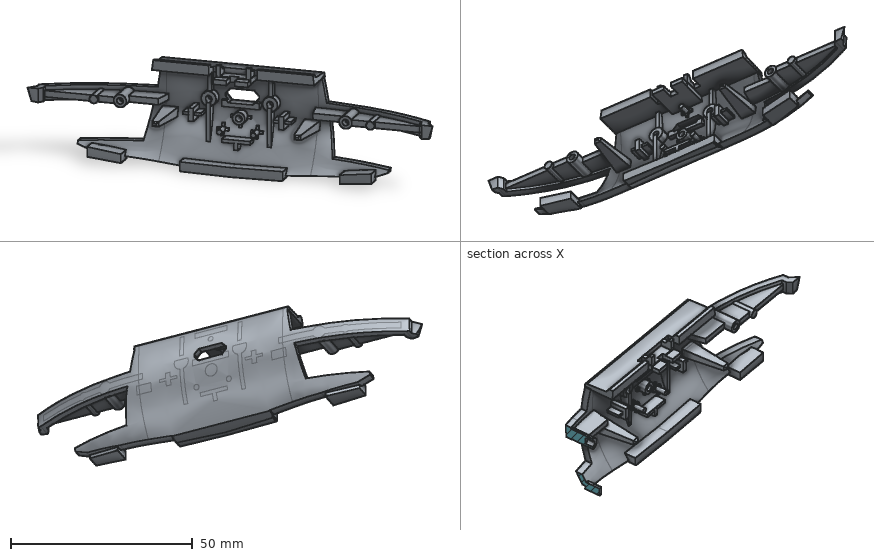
import cadquery as cq
import math

LENGTH = 117.5
BACK_Y = 8.25
TOP_Z = 15.595
BOTTOM_Z = -TOP_Z

WALL = 1.95
BULGE_Z = 5.0
UPPER_RADIUS = 62.0
LOWER_RADIUS = 31.0
MIDDLE_HALF = 22.0
END_RADIUS = 75.0
END_ANGLE = 36.0
STOCK_FRONT_Y = -16.0
CLEAR_BACK_Y = BACK_Y + 1
STOCK_TOP_Z = 16.5
PROFILE_HEIGHTS = (STOCK_TOP_Z, 11.0, BULGE_Z, -1.0, -7.0, -12.5, -18.0)

BODY_TOP_HALF = 23.15
ARM_TOP_EDGE = ((24.5, 5.35), (29.0, 5.2), (LENGTH / 2, 4.95))
ARM_BOTTOM_EDGE = ((57.6, 1.2), (55.8, 0.95), (25.5, 0.95))
WING_TOP_EDGE = ((27.4, -9.3), (45.0, -9.7))
WING_BOTTOM_EDGE = ((45.0, -10.5), (41.3, -12.0), (30.7, -13.3), (15.0, -14.4))
WINDOW_EDGE = ((3.5, 6.9), (4.9, 5.4), (4.9, 4.8), (3.5, 3.2))

PLATE_HALF = 24.0
PLATE_UNDERSIDE_Z = 12.6
PLATE_BACK_Z = 13.9
PLATE_BEVEL = 0.5
PLATE_BEVEL_Y = 7.0
PLATE_FRONT_Z = 14.25
LIP_FOOT_Y = 0.5
LIP_CREST_Y = -0.6
LIP_FRONT_Y = -1.8
LIP_Z = 15.45
NOTCH_HALF = 7.0
NOTCH_Y = 1.95
FINGER_INNER = 3.75
FINGER_OUTER = 5.0
FINGER_FRONT_Y = -1.5

SHELF_HALF = 4.9
SHELF_BOTTOM_Z = 10.9
BLOCK_TOP_Z = 12.3
BLOCK_INNER = 1.2
BLOCK_FRONT_Y = -4.05
WEB_FRONT_Y = -0.5

ARM_END_X = 56.7
ARM_Z = 2.9
ARM_RIB_HEIGHT = 1.8
ARM_RIB_FRONT_Y = -1.9
INNER_RIB_FRONT_Y = 0.6
ARM_RIB_OUTER_X = 54.6
ARM_RIB_INNER_X = 20.8
ARM_RIB_CORNER_X = 22.4
ARM_BOSS_X = 32.7
ARM_BOSS_RADIUS = 1.85
ARM_BOSS_FRONT_Y = -2.0
ARM_PIN_X = 40.1
ARM_PIN_RADIUS = 1.2
ARM_PIN_FRONT_Y = -2.8
HOOK_OUTER_Y = -2.0
HOOK_INNER_Y = -2.9
HOOK_FRONT_Y = -4.4
HOOK_INNER_X = 55.6
HOLE_DIAMETER = 1.8

SIDE_BOSS_RADIUS = 2.15
SIDE_BOSS = (8.9, 4.1)
SIDE_BOSS_FRONT_Y = 3.8
CENTRE_BOSS_Z = -0.6
CENTRE_BOSS_RADIUS = 1.8
CENTRE_BOSS_FRONT_Y = 3.2
HOLE_DEPTH = 2.5
RIB_X = 8.85
RIB_WIDTH = 1.15
RIB_BOTTOM_Z = -8.0
UPPER_RIB_FRONT_Y = 4.5
LOWER_RIB_FRONT_Y = 3.2
WINDOW_LEDGE = ((-5.5, 5.5), (4.8, BACK_Y), (2.0, 3.8))
LOWER_LEDGE = ((-4.1, 4.1), (0.8, BACK_Y), (-7.1, -6.1))
LEDGE_SUPPORT = ((-0.6, 0.6), (0.8, BACK_Y), (-9.0, -6.5))
FIN_HEIGHT = 0.6
FIN_WIDTH = 0.7
FIN_REACH = 1.7
CENTRE_FIN_REACH = 2.9
STUD_RADIUS = 0.75
SMALL_CROSSES = ((0.0, 9.35, 2.9), (-4.95, -4.35, 1.1), (4.95, -4.35, 1.1))
BIG_CROSS_X = 13.1
BIG_CROSS_UPRIGHT = (1.4, 3.8)
BIG_CROSS_BAR = (5.3, 0.8)
BIG_CROSS_FRONT_Y = 0.85
BIG_CROSS_BAR_FRONT_Y = 1.85

PEG_X = 20.6
PEG_Z = -1.0
PEG_ROOT = (4.4, 2.6)
PEG_END = (1.9, 1.4)
PEG_ROOT_Y = 5.0
PEG_SHOULDER_Y = -7.6
BAR_HALF = WING_BOTTOM_EDGE[-1][0]
BAR_FRONT_Y = -3.3
BAR_UNDERSIDE_Y = -1.8
BAR_ROOT_Y = 2.0
BAR_ROOT_Z = -14.3
BAR_TOP_Z = -12.55
BAR_MIDDLE_DIP = 0.25
BAR_BEVEL = 0.35
PAD_OUTER_X = 41.2
PAD_INNER_X = 31.7
PAD_OUTER_Z = (-13.1, -10.2)
PAD_INNER_Z = (-14.3, -11.7)
PAD_OUTER_Y = (-5.1, -1.0)
PAD_INNER_Y = (-4.2, 1.0)


def profile_points(depth):
    """Points down the back profile, offset forward by depth."""
    points = []
    for z in PROFILE_HEIGHTS:
        radius = UPPER_RADIUS if z > BULGE_Z else LOWER_RADIUS
        arc_y = BACK_Y - radius + math.sqrt((radius - depth) ** 2 - (z - BULGE_Z) ** 2)
        points.append((arc_y, z))
    return points


def layer_section(x, back_depth, front_depth):
    """YZ outline at x between two offsets of the back profile; None stands for a flat front."""
    back = profile_points(back_depth)
    section = cq.Workplane("YZ", origin=(x, 0, 0)).moveTo(*back[0]).spline(back[1:], includeCurrent=True)
    if front_depth is None:
        section = section.lineTo(STOCK_FRONT_Y, PROFILE_HEIGHTS[-1])
        section = section.lineTo(STOCK_FRONT_Y, PROFILE_HEIGHTS[0])
    else:
        front = profile_points(front_depth)[::-1]
        section = section.lineTo(*front[0]).spline(front[1:], includeCurrent=True)
    return section.close()


def layer(back_depth, front_depth=None):
    """Layer of the shell: straight in the middle, turned about a vertical axis at both ends."""
    middle = layer_section(-MIDDLE_HALF, back_depth, front_depth).extrude(2 * MIDDLE_HALF)
    axis_y = BACK_Y - END_RADIUS
    end = layer_section(-MIDDLE_HALF, back_depth, front_depth).revolve(END_ANGLE, (axis_y, 0), (axis_y, 1))
    return middle.union(both_sides(end))


def box(x_range, y_range, z_range):
    """Box between two limits on each axis."""
    size = [high - low for low, high in (x_range, y_range, z_range)]
    corner = (x_range[0], y_range[0], z_range[0])
    return cq.Workplane(cq.Solid.makeBox(*size, cq.Vector(*corner)))


def rod(x, z, radius, front_y):
    """Cylinder along Y from front_y to behind the shell."""
    return cq.Workplane(
        cq.Solid.makeCylinder(radius, BACK_Y - front_y, cq.Vector(x, front_y, z), cq.Vector(0, 1, 0))
    )


def front_prism(points):
    """XZ polygon extruded along Y to behind the shell."""
    sketch = cq.Workplane("XZ", origin=(0, CLEAR_BACK_Y, 0)).polyline(points).close()
    return sketch.extrude(CLEAR_BACK_Y - STOCK_FRONT_Y)


def top_prism(points, bottom_z, top_z):
    """XY polygon extruded between two heights."""
    return cq.Workplane("XY", origin=(0, 0, bottom_z)).polyline(points).close().extrude(top_z - bottom_z)


def side_prism(points, half_width):
    """YZ polygon extruded symmetrically about X = 0."""
    return cq.Workplane("YZ").polyline(points).close().extrude(half_width, both=True)


def mirrored(points):
    """Points mirrored about X = 0, in reverse order so that they close an outline."""
    return [(-x, z) for x, z in reversed(points)]


def both_sides(half):
    """A feature together with its mirror image about X = 0."""
    return half.union(half.mirror("YZ"))


def outline(top_z):
    """Front silhouette of body, arms and wings, up to top_z, as a prism."""
    half = [(BODY_TOP_HALF, top_z), *ARM_TOP_EDGE, *ARM_BOTTOM_EDGE, *WING_TOP_EDGE, *WING_BOTTOM_EDGE]
    return front_prism(half + mirrored(half))


def top_plate():
    """Top plate with a raised lip, notched in the middle and bridged by two fingers."""
    profile = [
        (BACK_Y, PLATE_UNDERSIDE_Z), (BACK_Y, PLATE_BACK_Z - PLATE_BEVEL),
        (PLATE_BEVEL_Y, PLATE_BACK_Z), (LIP_FOOT_Y, PLATE_FRONT_Z),
        (LIP_CREST_Y, LIP_Z), (LIP_FRONT_Y, LIP_Z), (LIP_FRONT_Y, PLATE_UNDERSIDE_Z),
    ]
    plate = side_prism(profile, PLATE_HALF)
    notch = box((-NOTCH_HALF, NOTCH_HALF), (STOCK_FRONT_Y, NOTCH_Y), (PLATE_UNDERSIDE_Z, STOCK_TOP_Z))
    plate = plate.cut(notch)
    finger_profile = [
        (NOTCH_Y, PLATE_UNDERSIDE_Z), (NOTCH_Y, PLATE_FRONT_Z), (LIP_FOOT_Y, PLATE_FRONT_Z),
        (LIP_CREST_Y, TOP_Z), (FINGER_FRONT_Y, TOP_Z), (FINGER_FRONT_Y, PLATE_UNDERSIDE_Z),
    ]
    fingers = side_prism(finger_profile, FINGER_OUTER)
    fingers = fingers.cut(box((-FINGER_INNER, FINGER_INNER), (STOCK_FRONT_Y, BACK_Y), (0, STOCK_TOP_Z)))
    return plate.union(fingers)


def catch():
    """Shelf under the top plate with two forward blocks joined by a short web."""
    heights = (SHELF_BOTTOM_Z, PLATE_UNDERSIDE_Z)
    shelf = box((-SHELF_HALF, SHELF_HALF), (FINGER_FRONT_Y, BACK_Y), heights)
    gap = box((-BLOCK_INNER, BLOCK_INNER), (STOCK_FRONT_Y, WEB_FRONT_Y), heights)
    block = box((BLOCK_INNER, FINGER_OUTER), (BLOCK_FRONT_Y, FINGER_FRONT_Y), (SHELF_BOTTOM_Z, BLOCK_TOP_Z))
    return shelf.cut(gap).union(both_sides(block))


def arm_features():
    """Horizontal rib, boss, pin and hooked tip of each side arm."""
    bottom = ARM_Z - ARM_RIB_HEIGHT / 2
    rib = top_prism(
        [
            (ARM_RIB_OUTER_X, BACK_Y), (ARM_RIB_OUTER_X, ARM_RIB_FRONT_Y), (ARM_BOSS_X, ARM_RIB_FRONT_Y),
            (ARM_BOSS_X, INNER_RIB_FRONT_Y), (ARM_RIB_CORNER_X, INNER_RIB_FRONT_Y), (ARM_RIB_INNER_X, BACK_Y),
        ],
        bottom, bottom + ARM_RIB_HEIGHT,
    )
    boss = rod(ARM_BOSS_X, ARM_Z, ARM_BOSS_RADIUS, ARM_BOSS_FRONT_Y)
    hole = rod(ARM_BOSS_X, ARM_Z, HOLE_DIAMETER / 2, STOCK_FRONT_Y)
    hole = hole.intersect(box((0, LENGTH), (STOCK_FRONT_Y, ARM_BOSS_FRONT_Y + HOLE_DEPTH), (0, STOCK_TOP_Z)))
    pin = rod(ARM_PIN_X, ARM_Z, ARM_PIN_RADIUS, ARM_PIN_FRONT_Y)
    tip_points = [
        (ARM_END_X, 0), (ARM_END_X, HOOK_OUTER_Y), (LENGTH / 2, HOOK_FRONT_Y), (HOOK_INNER_X, HOOK_FRONT_Y),
        (ARM_RIB_OUTER_X, HOOK_INNER_Y), (ARM_RIB_OUTER_X, 0),
    ]
    tip = top_prism(tip_points, 0, BULGE_Z).intersect(outline(TOP_Z))
    return both_sides(rib.union(boss).cut(hole).union(pin).union(tip))


def shell_fins(shapes):
    """Low fins that follow the shell, cut to the given front shapes."""
    return layer(WALL / 2, WALL + FIN_HEIGHT).intersect(shapes)


def upright_box(x, z, width, height, front_y):
    """Box centred at X, Z that runs from front_y back into the shell."""
    return box(
        (x - width / 2, x + width / 2), (front_y, BACK_Y), (z - height / 2, z + height / 2)
    )


def crosses():
    """Fin crosses with studs, and the tall crosses beside the vertical ribs."""
    fins = upright_box(0, CENTRE_BOSS_Z, 2 * CENTRE_FIN_REACH, FIN_WIDTH, STOCK_FRONT_Y)
    fins = fins.union(upright_box(0, CENTRE_BOSS_Z, FIN_WIDTH, 2 * CENTRE_FIN_REACH, STOCK_FRONT_Y))
    studs = cq.Workplane()
    for x, z, stud_y in SMALL_CROSSES:
        fins = fins.union(upright_box(x, z, 2 * FIN_REACH, FIN_WIDTH, STOCK_FRONT_Y))
        fins = fins.union(upright_box(x, z, FIN_WIDTH, 2 * FIN_REACH, STOCK_FRONT_Y))
        studs = studs.add(rod(x, z, STUD_RADIUS, stud_y))
    big = upright_box(BIG_CROSS_X, 0, *BIG_CROSS_UPRIGHT, BIG_CROSS_FRONT_Y)
    big = big.union(upright_box(BIG_CROSS_X, 0, *BIG_CROSS_BAR, BIG_CROSS_BAR_FRONT_Y))
    return shell_fins(fins).union(studs.combine()).union(both_sides(big))


def ribs_and_bosses():
    """Vertical ribs, bosses and the central ledges."""
    across = (RIB_X - RIB_WIDTH / 2, RIB_X + RIB_WIDTH / 2)
    upper = box(across, (UPPER_RIB_FRONT_Y, BACK_Y), (SIDE_BOSS[1], PLATE_UNDERSIDE_Z))
    lower = box(across, (LOWER_RIB_FRONT_Y, BACK_Y), (RIB_BOTTOM_Z, SIDE_BOSS[1]))
    side = upper.union(lower).union(rod(*SIDE_BOSS, SIDE_BOSS_RADIUS, SIDE_BOSS_FRONT_Y))
    features = both_sides(side)
    features = features.union(rod(0, CENTRE_BOSS_Z, CENTRE_BOSS_RADIUS, CENTRE_BOSS_FRONT_Y))
    for ledge in (WINDOW_LEDGE, LOWER_LEDGE, LEDGE_SUPPORT):
        features = features.union(box(*ledge))
    return features


def boss_holes():
    """Blind holes in the three bosses of the shell."""
    holes = both_sides(rod(*SIDE_BOSS, HOLE_DIAMETER / 2, STOCK_FRONT_Y))
    holes = holes.union(rod(0, CENTRE_BOSS_Z, HOLE_DIAMETER / 2, STOCK_FRONT_Y))
    reach = box((-PLATE_HALF, PLATE_HALF), (STOCK_FRONT_Y, SIDE_BOSS_FRONT_Y + HOLE_DEPTH), (BOTTOM_Z, TOP_Z))
    return holes.intersect(reach)


def window():
    """Eight-sided opening through the shell."""
    half = list(WINDOW_EDGE)
    return front_prism(half + mirrored(half))


def pegs():
    """Tapered locating pegs with a small nub at the end."""
    peg = (
        cq.Workplane("XZ", origin=(PEG_X, PEG_ROOT_Y, PEG_Z))
        .rect(*PEG_ROOT)
        .workplane(offset=PEG_ROOT_Y - PEG_SHOULDER_Y)
        .rect(*PEG_END)
        .workplane(offset=PEG_SHOULDER_Y + BACK_Y)
        .rect(*[side / 2 for side in PEG_END])
        .loft(ruled=True)
    )
    root = upright_box(PEG_X, PEG_Z, *PEG_ROOT, PEG_ROOT_Y)
    return both_sides(peg.union(root))


def bottom_bar():
    """Bar along the bottom edge, slightly deeper in the middle."""
    profile = [
        (BAR_ROOT_Y, BAR_TOP_Z), (BAR_FRONT_Y, BAR_TOP_Z), (BAR_FRONT_Y, BOTTOM_Z),
        (BAR_UNDERSIDE_Y, BOTTOM_Z), (BAR_ROOT_Y, BAR_ROOT_Z),
    ]
    end_z = BOTTOM_Z + BAR_MIDDLE_DIP
    half = [
        (0, BAR_TOP_Z - BAR_MIDDLE_DIP), (BAR_HALF, BAR_TOP_Z), (BAR_HALF, end_z + BAR_BEVEL),
        (BAR_HALF - BAR_BEVEL, end_z), (0, BOTTOM_Z),
    ]
    face = both_sides(front_prism(half))
    return side_prism(profile, BAR_HALF).intersect(face)


def pad_corners(outer, inner):
    """Corners of a pad from the limits at its outer and inner ends."""
    return [
        (PAD_OUTER_X, outer[0]), (PAD_INNER_X, inner[0]),
        (PAD_INNER_X, inner[1]), (PAD_OUTER_X, outer[1]),
    ]


def wing_pads():
    """Sloping pads on the lower wings."""
    face = front_prism(pad_corners(PAD_OUTER_Z, PAD_INNER_Z))
    depth = top_prism(pad_corners(PAD_OUTER_Y, PAD_INNER_Y), BOTTOM_Z, 0)
    return both_sides(face.intersect(depth))


envelope = layer(0)
body = layer(0, WALL).intersect(outline(PLATE_BACK_Z - PLATE_BEVEL))
body = body.intersect(box((-ARM_END_X, ARM_END_X), (STOCK_FRONT_Y, CLEAR_BACK_Y), (BOTTOM_Z, TOP_Z)))
features = (
    top_plate().intersect(outline(TOP_Z)), catch(), ribs_and_bosses(), crosses(),
    arm_features(), pegs(), bottom_bar(), wing_pads(),
)
for feature in features:
    body = body.union(feature.intersect(envelope), clean=False)
result = body.cut(boss_holes(), clean=False).cut(window())